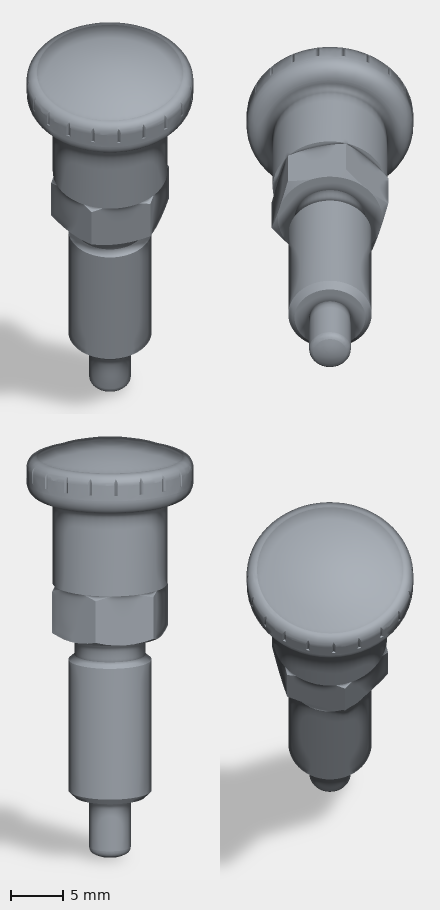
import cadquery as cq
import math


PIN_PROJECTION = 6.0
THREAD_LENGTH = 13.5
RELIEF_TAPER = 0.5
HEX_BOTTOM = 22.0
HEX_HEIGHT = 5.0
TOTAL_HEIGHT = 41.0
THREAD_TOP = PIN_PROJECTION + THREAD_LENGTH
HEX_TOP = HEX_BOTTOM + HEX_HEIGHT

THREAD_RADIUS = 4.0
THREAD_CHAMFER = 0.6
RELIEF_RADIUS = 3.4
HEX_ACROSS_FLATS = 10.0
HEX_CHAMFER_ANGLE = math.radians(30)

PIN_RADIUS = 2.0
PIN_DOME_RADIUS = 3.5
PIN_EDGE_FILLET = 0.7

SLEEVE_RADIUS = 5.5
KNOB_RADIUS = 8.0
NECK_FILLET = 0.6
LOWER_FILLET = 1.5
UPPER_FILLET = 1.0
RIM_HEIGHT = 1.5
DOME_RISE = 1.5
DOME_EDGE = TOTAL_HEIGHT - DOME_RISE
RIM_TOP = DOME_EDGE - UPPER_FILLET
RIM_BOTTOM = RIM_TOP - RIM_HEIGHT
KNOB_UNDERSIDE = RIM_BOTTOM - LOWER_FILLET
DOME_EDGE_RADIUS = KNOB_RADIUS - UPPER_FILLET
DOME_RADIUS = (DOME_EDGE_RADIUS**2 + DOME_RISE**2) / (2 * DOME_RISE)

NOTCH_COUNT = 20
NOTCH_DEPTH = 0.2
NOTCH_FLOOR_ABOVE_RIM_BOTTOM = 0.5
NOTCH_BOTTOM = RIM_BOTTOM + NOTCH_FLOOR_ABOVE_RIM_BOTTOM


def make_hex_collar():
    """Hexagon with corners on the X axis, its ends chamfered down to the inscribed circle."""
    flat_radius = HEX_ACROSS_FLATS / 2
    corner_radius = flat_radius / math.cos(math.pi / 6)
    chamfer_height = (corner_radius - flat_radius) * math.tan(HEX_CHAMFER_ANGLE)
    prism = (
        cq.Workplane("XY")
        .workplane(offset=HEX_BOTTOM)
        .polygon(6, 2 * corner_radius)
        .extrude(HEX_HEIGHT)
    )
    chamfer_envelope = (
        cq.Workplane("XZ")
        .moveTo(0, HEX_BOTTOM)
        .lineTo(flat_radius, HEX_BOTTOM)
        .lineTo(corner_radius, HEX_BOTTOM + chamfer_height)
        .lineTo(corner_radius, HEX_TOP - chamfer_height)
        .lineTo(flat_radius, HEX_TOP)
        .lineTo(0, HEX_TOP)
        .close()
        .revolve()
    )
    return prism.intersect(chamfer_envelope)


def make_guide_body():
    """Threaded shank, relief groove and hexagon, bored through for the pin."""
    shank = (
        cq.Workplane("XZ")
        .moveTo(0, PIN_PROJECTION)
        .lineTo(THREAD_RADIUS - THREAD_CHAMFER, PIN_PROJECTION)
        .lineTo(THREAD_RADIUS, PIN_PROJECTION + THREAD_CHAMFER)
        .lineTo(THREAD_RADIUS, THREAD_TOP)
        .lineTo(RELIEF_RADIUS, THREAD_TOP + RELIEF_TAPER)
        .lineTo(RELIEF_RADIUS, HEX_BOTTOM)
        .lineTo(0, HEX_BOTTOM)
        .close()
        .revolve()
    )
    bore = cq.Workplane("XY").circle(PIN_RADIUS).extrude(HEX_TOP)
    return shank.union(make_hex_collar()).cut(bore)


def make_pin():
    """Round pin with a shallow domed tip and a rounded edge, ending at the knob sleeve."""
    dome_edge_height = PIN_DOME_RADIUS - math.sqrt(PIN_DOME_RADIUS**2 - PIN_RADIUS**2)
    half_radius = PIN_RADIUS / 2
    dome_middle_height = PIN_DOME_RADIUS - math.sqrt(PIN_DOME_RADIUS**2 - half_radius**2)
    pin = (
        cq.Workplane("XZ")
        .moveTo(0, 0)
        .threePointArc((half_radius, dome_middle_height), (PIN_RADIUS, dome_edge_height))
        .lineTo(PIN_RADIUS, HEX_TOP)
        .lineTo(0, HEX_TOP)
        .close()
        .revolve()
    )
    dome_edge = cq.selectors.BoxSelector(
        (-THREAD_RADIUS, -THREAD_RADIUS, dome_edge_height / 2),
        (THREAD_RADIUS, THREAD_RADIUS, 2 * dome_edge_height),
        boundingbox=True,
    )
    return pin.edges(dome_edge).fillet(PIN_EDGE_FILLET)


def make_knob():
    """Sleeve and mushroom head, turned about the Z axis."""
    dome_middle_radius = DOME_EDGE_RADIUS / 2
    dome_center_height = TOTAL_HEIGHT - DOME_RADIUS
    dome_middle_height = dome_center_height + math.sqrt(DOME_RADIUS**2 - dome_middle_radius**2)
    return (
        cq.Workplane("XZ")
        .moveTo(0, HEX_TOP)
        .lineTo(SLEEVE_RADIUS, HEX_TOP)
        .lineTo(SLEEVE_RADIUS, KNOB_UNDERSIDE - NECK_FILLET)
        .radiusArc((SLEEVE_RADIUS + NECK_FILLET, KNOB_UNDERSIDE), NECK_FILLET)
        .lineTo(KNOB_RADIUS - LOWER_FILLET, KNOB_UNDERSIDE)
        .radiusArc((KNOB_RADIUS, RIM_BOTTOM), -LOWER_FILLET)
        .lineTo(KNOB_RADIUS, RIM_TOP)
        .radiusArc((DOME_EDGE_RADIUS, DOME_EDGE), -UPPER_FILLET)
        .threePointArc((dome_middle_radius, dome_middle_height), (0, TOTAL_HEIGHT))
        .close()
        .revolve()
    )


def make_notch_cutters():
    """Ring of triangular prisms that run up from the rim and out through the top rounding."""
    apex_radius = KNOB_RADIUS - NOTCH_DEPTH
    mouth_half_width = 2 * NOTCH_DEPTH
    mouth_radius = apex_radius + mouth_half_width
    cutter = (
        cq.Workplane("XY")
        .workplane(offset=NOTCH_BOTTOM)
        .polyline([(apex_radius, 0), (mouth_radius, mouth_half_width), (mouth_radius, -mouth_half_width)])
        .close()
        .extrude(DOME_EDGE - NOTCH_BOTTOM)
    )
    pitch_angle = 360 / NOTCH_COUNT
    return [cutter.rotate((0, 0, 0), (0, 0, 1), i * pitch_angle) for i in range(NOTCH_COUNT)]


def make_plunger():
    """Notched pull knob carrying the pin."""
    plunger = make_knob()
    for cutter in make_notch_cutters():
        plunger = plunger.cut(cutter)
    return plunger.union(make_pin())


guide_body = make_guide_body()
plunger = make_plunger()

result = cq.Compound.makeCompound([guide_body.solids().val(), plunger.solids().val()])